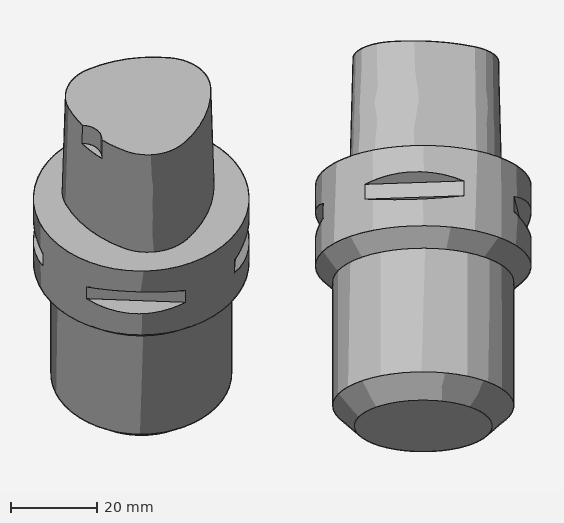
import cadquery as cq
import math

total_height = 90.0
flange_radius = 50.0 / 2
body_radius = 42.0 / 2
bottom_chamfer = 5.0
flange_bottom = 40.0
shank_height = 30.0
flange_top = total_height - shank_height
cone_height = flange_radius - body_radius

lobe_reach = 18.7
flank_reach = 16.2
lobe_radius = 11.5
taper_ratio = 1 / 40
lobe_count = 3

groove_count = 4
groove_floor_distance = 22.2
groove_floor_width = 3.7
groove_middle = 50.0
groove_wall_angle = math.radians(30)

notch_radius = 4.7
notch_back = 13.9
notch_depth = 5.7


def polar(radius, degrees):
    angle = math.radians(degrees)
    return cq.Vector(radius * math.cos(angle), radius * math.sin(angle))


def lobed_wire(inset, height):
    """Closed outline of tangent lobe and flank arcs, shrunk inwards by inset."""
    lobe_offset = lobe_reach - lobe_radius
    flank_radius = (
        lobe_offset**2 + flank_reach**2 - lobe_offset * flank_reach - lobe_radius**2
    ) / (2 * flank_reach - lobe_offset - 2 * lobe_radius)
    flank_offset = flank_radius - flank_reach
    pitch = 360 / lobe_count
    lift = cq.Vector(0, 0, height)

    def junction(lobe_angle, flank_angle):
        lobe_center = polar(lobe_offset, lobe_angle)
        flank_center = polar(-flank_offset, flank_angle)
        outward = (lobe_center - flank_center).normalized()
        return lobe_center + outward * (lobe_radius - inset) + lift

    edges = []
    for index in range(lobe_count):
        lobe_angle = 90 + index * pitch
        flank_angle = lobe_angle + pitch / 2
        lobe_start = junction(lobe_angle, lobe_angle - pitch / 2)
        lobe_end = junction(lobe_angle, flank_angle)
        flank_end = junction(lobe_angle + pitch, flank_angle)
        lobe_tip = polar(lobe_reach - inset, lobe_angle) + lift
        flank_middle = polar(flank_reach - inset, flank_angle) + lift
        edges.append(cq.Edge.makeThreePointArc(lobe_start, lobe_tip, lobe_end))
        edges.append(cq.Edge.makeThreePointArc(lobe_end, flank_middle, flank_end))
    return cq.Wire.assembleEdges(edges)


def make_body():
    return (
        cq.Workplane("XZ")
        .moveTo(0, 0)
        .lineTo(body_radius - bottom_chamfer, 0)
        .lineTo(body_radius, bottom_chamfer)
        .lineTo(body_radius, flange_bottom - cone_height)
        .lineTo(flange_radius, flange_bottom)
        .lineTo(flange_radius, flange_top)
        .lineTo(0, flange_top)
        .close()
        .revolve(360, (0, 0), (0, 1))
    )


def make_shank():
    base = lobed_wire(0, flange_top)
    tip = lobed_wire(shank_height * taper_ratio, total_height)
    return cq.Workplane(cq.Solid.makeLoft([base, tip], True))


def make_groove():
    """Straight trapezoidal groove on the +X side, running along Y."""
    outer = flange_radius + 0.9
    floor_half = groove_floor_width / 2
    outer_half = floor_half + (outer - groove_floor_distance) * math.tan(groove_wall_angle)
    return (
        cq.Workplane("XZ")
        .moveTo(groove_floor_distance, groove_middle - floor_half)
        .lineTo(outer, groove_middle - outer_half)
        .lineTo(outer, groove_middle + outer_half)
        .lineTo(groove_floor_distance, groove_middle + floor_half)
        .close()
        .extrude(flange_radius, both=True)
    )


def make_notch():
    return (
        cq.Workplane("XY", origin=(0, 0, total_height - notch_depth))
        .center(0, -notch_back - notch_radius)
        .circle(notch_radius)
        .extrude(notch_depth)
    )


result = make_body().union(make_shank()).cut(make_notch())
groove = make_groove()
groove_step = 360 / groove_count
for index in range(groove_count):
    groove_angle = groove_step * (index + 0.5)
    result = result.cut(groove.rotate((0, 0, 0), (0, 0, 1), groove_angle))